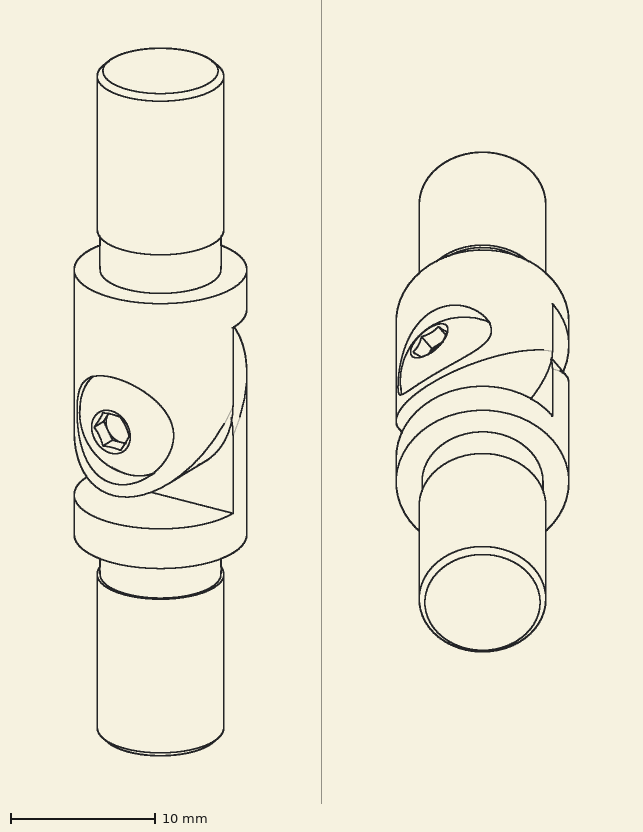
import cadquery as cq
import math

total_length = 50.0
body_radius = 6.0
half_length = total_length / 2

shaft_length = 12.0
shaft_radius = 4.4
end_chamfer = 0.4
neck_length = 3.0
neck_radius = 4.2

collar_thickness = 3.0
tongue_reach = 4.9
collar_outer_z = half_length - shaft_length - neck_length
collar_inner_z = collar_outer_z - collar_thickness
tongue_arc_z = body_radius - tongue_reach

head_radius = 4.0
head_tip_y = -6.3
head_height = 2.2
head_flat_radius = 1.6
head_seat_y = head_tip_y + head_height
shank_radius = 2.0
shank_end_y = 4.0

socket_across_flats = 2.5
socket_depth = 1.3
socket_cone_depth = 0.6
mouth_depth = 0.2


def y_cylinder(radius, start_y, end_y, center_z=0):
    """Cylinder along Y between two Y positions."""
    start = cq.Vector(0, start_y, center_z)
    return cq.Workplane(cq.Solid.makeCylinder(radius, end_y - start_y, start, cq.Vector(0, 1, 0)))


def make_joint_half():
    """Upper half: chamfered shaft, neck, collar and a rounded tongue on the -Y side."""
    shaft = cq.Workplane("XY").workplane(offset=half_length - shaft_length)
    shaft = shaft.circle(shaft_radius).extrude(shaft_length).faces(">Z").chamfer(end_chamfer)
    neck = cq.Workplane("XY").workplane(offset=collar_outer_z).circle(neck_radius).extrude(neck_length)
    collar = cq.Workplane("XY").workplane(offset=collar_inner_z).circle(body_radius).extrude(collar_thickness)

    tongue_length = collar_inner_z + tongue_reach
    tongue = cq.Workplane("XY").workplane(offset=-tongue_reach).circle(body_radius).extrude(tongue_length)
    straight_length = collar_inner_z - tongue_arc_z
    straight_part = cq.Workplane("XY").box(
        2 * body_radius, body_radius, straight_length, centered=(True, False, False)
    ).translate((0, -body_radius, tongue_arc_z))
    tongue_outline = y_cylinder(body_radius, -body_radius, 0, tongue_arc_z).union(straight_part)
    return collar.union(neck).union(shaft).union(tongue.intersect(tongue_outline))


def make_upper_half():
    """Joint half with the head recess and the clearance hole for the screw."""
    recess = y_cylinder(head_radius, head_tip_y, head_seat_y)
    hole = y_cylinder(shank_radius, head_seat_y, 0)
    return make_joint_half().cut(recess).cut(hole)


def make_lower_half():
    """Joint half turned half a turn about X, with a blind hole for the screw."""
    turned = make_joint_half().rotate((0, 0, 0), (1, 0, 0), 180)
    return turned.cut(y_cylinder(shank_radius, 0, shank_end_y))


def y_cone(start_radius, end_radius, start_y, height):
    """Cone along Y that starts at start_y and runs towards +Y."""
    start = cq.Vector(0, start_y, 0)
    return cq.Workplane(cq.Solid.makeCone(start_radius, end_radius, height, start, cq.Vector(0, 1, 0)))


def make_socket():
    """Hexagon socket cut into the tip of the screw head, with flats facing up and down."""
    floor_y = head_tip_y + socket_depth
    socket_inner_radius = socket_across_flats / 2
    corner_diameter = socket_across_flats / math.cos(math.pi / 6)
    hexagon = (
        cq.Workplane("XZ", origin=(0, head_tip_y, 0))
        .polygon(6, corner_diameter)
        .extrude(-socket_depth)
    )
    mouth = y_cone(head_flat_radius, socket_inner_radius, head_tip_y, mouth_depth)
    bottom = y_cone(socket_inner_radius, 0, floor_y, socket_cone_depth)
    return hexagon.union(mouth).union(bottom)


def make_screw():
    """Screw turned about Y, with a spherical dome cut flat at its tip."""
    dome_center_y = (
        (head_flat_radius**2 + head_tip_y**2 - head_radius**2 - head_seat_y**2)
        / (2 * (head_tip_y - head_seat_y))
    )
    dome_radius = math.hypot(head_radius, head_seat_y - dome_center_y)
    mid_radius = (head_radius + head_flat_radius) / 2
    mid_y = dome_center_y - math.sqrt(dome_radius**2 - mid_radius**2)
    profile = (
        cq.Workplane("XY")
        .moveTo(0, head_tip_y)
        .lineTo(head_flat_radius, head_tip_y)
        .threePointArc((mid_radius, mid_y), (head_radius, head_seat_y))
        .lineTo(shank_radius, head_seat_y)
        .lineTo(shank_radius, shank_end_y)
        .lineTo(0, shank_end_y)
        .close()
    )
    return profile.revolve(360, (0, 0, 0), (0, 1, 0)).cut(make_socket())


upper_half = make_upper_half()
lower_half = make_lower_half()
screw = make_screw()

result = cq.Compound.makeCompound([upper_half.val(), lower_half.val(), screw.val()])